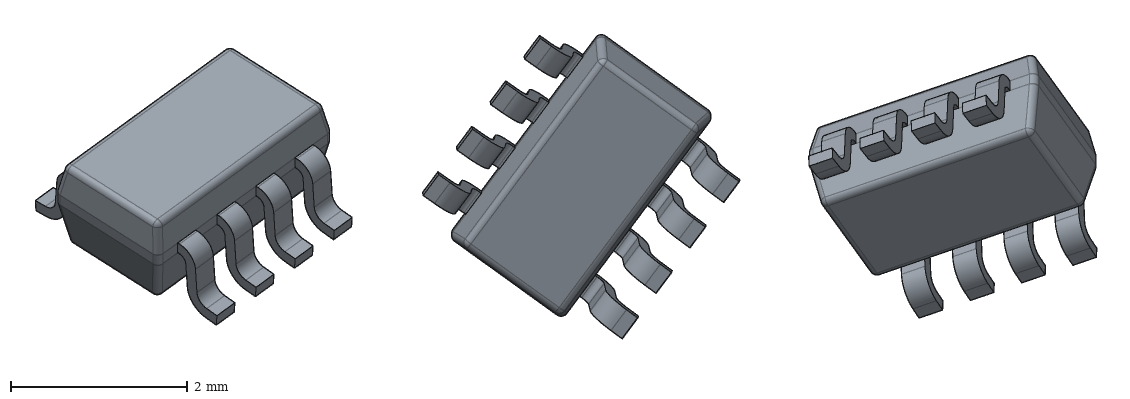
import cadquery as cq
import math

body_width = 1.6
body_length = 2.9
total_height = 1.3
body_height = 1.195
upper_height = 0.41
draft_angle = 10.0
edge_radius = 0.08

lead_span = 2.82
lead_thickness = 0.15
lead_width = 0.3
lead_pitch = 0.65
leads_per_side = 4
shoulder_radius = 0.1
ankle_radius = 0.162
foot_length = 0.16
lead_tilt = 3.8

band_top = total_height - upper_height
band_bottom = band_top - lead_thickness
lower_height = body_height - upper_height - lead_thickness
side_x = body_width / 2
tip_x = lead_span / 2


def make_body():
    """Moulded body: a straight band with a tapered part above and below, all outer edges rounded."""
    band = (
        cq.Workplane("XY", origin=(0, 0, band_bottom))
        .rect(body_width, body_length)
        .extrude(lead_thickness)
    )
    upper = (
        cq.Workplane("XY", origin=(0, 0, band_top))
        .rect(body_width, body_length)
        .extrude(upper_height, taper=draft_angle)
    )
    lower = (
        cq.Workplane("XY", origin=(0, 0, band_bottom))
        .rect(body_width, body_length)
        .extrude(-lower_height, taper=draft_angle)
    )
    block = band.union(upper).union(lower)
    corners = block.edges("not #Z")
    rims = block.faces("<Z or >Z").edges()
    return block.newObject(corners.vals() + rims.vals()).fillet(edge_radius)


def step(point, distance, fall):
    """Point reached by going outward along a line that falls by the given angle from horizontal."""
    return (point[0] + distance * math.cos(fall), point[1] - distance * math.sin(fall))


def on_arc(center, radius, angle):
    """Point on a circle, at an angle from +X."""
    return (center[0] + radius * math.cos(angle), center[1] + radius * math.sin(angle))


def make_lead():
    """Gull-wing lead on the +X side, centred on Y = 0, ending flush at the body wall."""
    tilt = math.radians(lead_tilt)
    right_angle = math.pi / 2
    leg_fall = right_angle - tilt
    shoulder_outer = shoulder_radius + lead_thickness
    ankle_outer = ankle_radius + lead_thickness

    tip_top = (tip_x, lead_thickness * math.cos(tilt))
    tip_bottom = step(tip_top, lead_thickness, right_angle + tilt)
    foot_top = step(tip_top, -foot_length, tilt)
    foot_bottom = step(tip_bottom, -foot_length, tilt)

    ankle_center = step(foot_top, -ankle_radius, right_angle + tilt)
    ankle_end = math.pi + tilt
    ankle_middle = math.pi * 5 / 4
    leg_low_outer = on_arc(ankle_center, ankle_radius, ankle_end)
    leg_low_inner = on_arc(ankle_center, ankle_outer, ankle_end)

    shoulder_z = band_top - shoulder_outer
    leg_high_z = shoulder_z + shoulder_outer * math.sin(tilt)
    leg_length = (leg_high_z - leg_low_outer[1]) / math.sin(leg_fall)
    leg_high_outer = step(leg_low_outer, -leg_length, leg_fall)
    leg_high_inner = step(leg_low_inner, -leg_length, leg_fall)

    shoulder_center = step(leg_high_outer, -shoulder_outer, -tilt)
    shoulder_middle = (right_angle + tilt) / 2

    profile = (
        cq.Workplane("XZ")
        .moveTo(side_x, band_top)
        .lineTo(shoulder_center[0], band_top)
        .threePointArc(on_arc(shoulder_center, shoulder_outer, shoulder_middle), leg_high_outer)
        .lineTo(*leg_low_outer)
        .threePointArc(on_arc(ankle_center, ankle_radius, ankle_middle), foot_top)
        .lineTo(*tip_top)
        .lineTo(*tip_bottom)
        .lineTo(*foot_bottom)
        .threePointArc(on_arc(ankle_center, ankle_outer, ankle_middle), leg_low_inner)
        .lineTo(*leg_high_inner)
        .threePointArc(on_arc(shoulder_center, shoulder_radius, shoulder_middle),
                       (shoulder_center[0], band_bottom))
        .lineTo(side_x, band_bottom)
        .close()
    )
    return profile.extrude(lead_width / 2, both=True)


def make_leads():
    """Rows of equally spaced leads along the +X and -X sides."""
    lead = make_lead()
    mirrored_lead = lead.mirror("YZ")
    leads = []
    for index in range(leads_per_side):
        lead_y = (index - (leads_per_side - 1) / 2) * lead_pitch
        for side_lead in (lead, mirrored_lead):
            leads.append(side_lead.translate((0, lead_y, 0)).val())
    return leads


body = make_body()
leads = make_leads()

result = cq.Compound.makeCompound([body.val(), *leads])